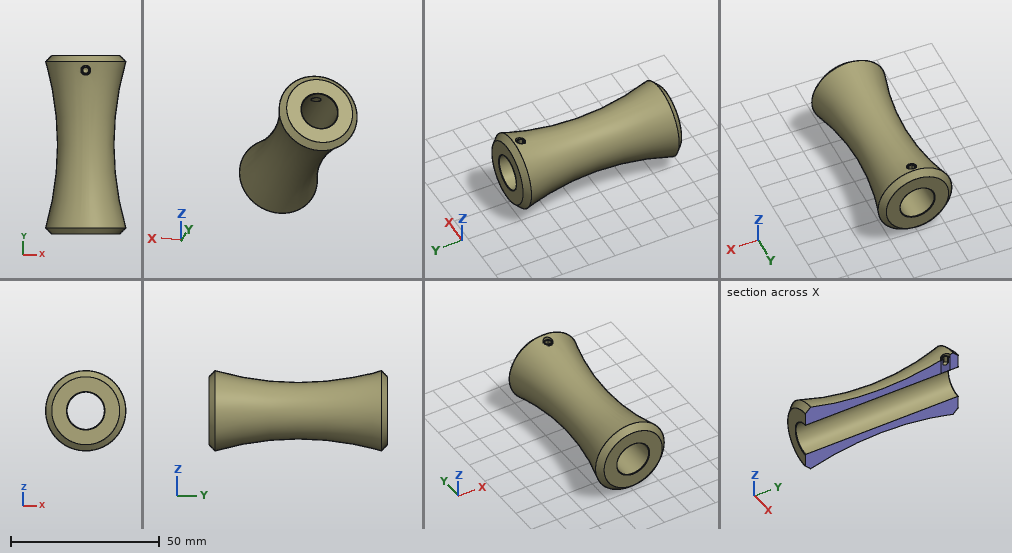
import cadquery as cq
import math

LENGTH = 60.0
RIM_DIAMETER = 27.0
RIM_CHAMFER = 2.1
WAIST_DIAMETER = 19.0
BORE_DIAMETER = 12.5
BORE_CHAMFER = 0.21

SCREW_DIAMETER = 3.3
SCREW_LENGTH = 6.0
SCREW_Y = 25.0
SCREW_CHAMFER = 0.3
SOCKET_ACROSS_FLATS = 2.0
SOCKET_DEPTH = 2.4
SOCKET_CONE_DEPTH = 0.55

HALF_LENGTH = LENGTH / 2
RIM_RADIUS = RIM_DIAMETER / 2
BORE_RADIUS = BORE_DIAMETER / 2
SCREW_RADIUS = SCREW_DIAMETER / 2
SCREW_BOTTOM_Z = BORE_RADIUS
SCREW_TOP_Z = SCREW_BOTTOM_Z + SCREW_LENGTH


def make_screw_hole():
    """Cutter for the radial hole from the bore axis out through the top of the sleeve."""
    return cq.Workplane("XY").center(0, SCREW_Y).circle(SCREW_RADIUS).extrude(RIM_RADIUS)


def make_sleeve():
    """Bored tube with chamfered rims, narrowed to a waist at mid-length by one concave arc."""
    end_radius = RIM_RADIUS - RIM_CHAMFER
    bore_mouth_radius = BORE_RADIUS + BORE_CHAMFER
    rim_y = HALF_LENGTH - RIM_CHAMFER
    bore_y = HALF_LENGTH - BORE_CHAMFER
    profile = (
        cq.Workplane("XY")
        .moveTo(bore_mouth_radius, -HALF_LENGTH)
        .lineTo(end_radius, -HALF_LENGTH)
        .lineTo(RIM_RADIUS, -rim_y)
        .threePointArc((WAIST_DIAMETER / 2, 0), (RIM_RADIUS, rim_y))
        .lineTo(end_radius, HALF_LENGTH)
        .lineTo(bore_mouth_radius, HALF_LENGTH)
        .lineTo(BORE_RADIUS, bore_y)
        .lineTo(BORE_RADIUS, -bore_y)
        .close()
    )
    tube = profile.revolve(360, (0, 0, 0), (0, 1, 0))
    return tube.cut(make_screw_hole())


def make_socket():
    """Cutter for the hexagon socket, with a drill cone below its floor."""
    floor_z = SCREW_TOP_Z - SOCKET_DEPTH
    across_corners = SOCKET_ACROSS_FLATS / math.cos(math.pi / 6)
    hexagon = (
        cq.Workplane("XY", origin=(0, SCREW_Y, floor_z))
        .polygon(6, across_corners)
        .extrude(SOCKET_DEPTH)
    )
    drill_cone = cq.Solid.makeCone(
        SOCKET_ACROSS_FLATS / 2,
        0,
        SOCKET_CONE_DEPTH,
        pnt=cq.Vector(0, SCREW_Y, floor_z),
        dir=cq.Vector(0, 0, -1),
    )
    return hexagon.union(cq.Workplane(drill_cone))


def make_set_screw():
    """Headless screw with a chamfered top edge and a hexagon socket."""
    blank = (
        cq.Workplane("XY", origin=(0, SCREW_Y, SCREW_BOTTOM_Z))
        .circle(SCREW_RADIUS)
        .extrude(SCREW_LENGTH)
        .faces(">Z")
        .chamfer(SCREW_CHAMFER)
    )
    return blank.cut(make_socket())


sleeve = make_sleeve()
set_screw = make_set_screw()
result = cq.Compound.makeCompound([sleeve.val(), set_screw.val()])